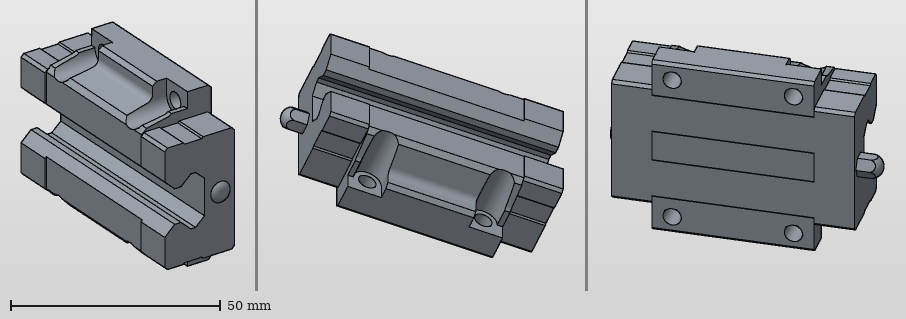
import cadquery as cq
import math


BODY_LENGTH = 40.1
CAPPED_LENGTH = 60.15
OVERALL_LENGTH = 67.3
NIPPLE_TIP_X = -36.2
PLUG_TIP_X = NIPPLE_TIP_X + OVERALL_LENGTH
CAP_LENGTH = (CAPPED_LENGTH - BODY_LENGTH) / 2

BODY_HALF_WIDTH = 23.5
BODY_DEPTH = 20.1
BACK_CHAMFER = 0.8
FLANGE_DEPTH = 11.05
FLANGE_CHAMFER_Y = 1.2
FLANGE_CHAMFER_Z = 1.0
SHANK_ROOT_Z = 18.7
SHANK_END_Y = -18.85
SHANK_END_Z = 17.15
FRONT_FACE_Z = 15.7
ROOT_RADIUS = 2.0

RELIEF_DEPTH = 0.2
RELIEF_INNER_Z = 4.0
RELIEF_OUTER_Z = 14.0

CAP_BACK_Y = -0.2
CAP_FRONT_Y = -20.5
CAP_HALF_WIDTH = 16.35
CAP_CHAMFER = 0.8
CAP_GROOVE_START_Y = -9.35
CAP_GROOVE_END_Y = -15.1
CAP_GROOVE_DEPTH = 0.4

CHANNEL_FLOOR_Y = -8.95
CHANNEL_FLOOR_Z = 5.05
UNDERCUT_START_Y = -11.6
UNDERCUT_END_Y = -12.9
UNDERCUT_Z = 7.4
LIP_START_Y = -15.8
LIP_END_Y = -17.6
LIP_Z = 4.8
MOUTH_Z = 7.5

HOLE_DIAMETER = 4.5
HOLE_X = 15.0
HOLE_Z = 19.0
SEAT_RADIUS = 3.65
SEAT_Y = -6.9

PORT_Y = -4.3
NIPPLE_ACROSS_FLATS = 5.1
NIPPLE_DOME_RADIUS = NIPPLE_ACROSS_FLATS / math.sqrt(3)
PLUG_RADIUS = 2.8
PLUG_FLAT_RADIUS = 1.1


def symmetric_prism(half_outline, length):
    """Extrude a (Y, Z) half outline and its mirror image along X, centred on X = 0."""
    mirrored = [(y, -z) for y, z in reversed(half_outline)]
    prism = cq.Workplane("YZ").polyline(half_outline + mirrored).close().extrude(length)
    return prism.translate((-length / 2, 0, 0))


def make_body():
    outline = [
        (0, BODY_HALF_WIDTH - BACK_CHAMFER),
        (-BACK_CHAMFER, BODY_HALF_WIDTH),
        (-FLANGE_DEPTH + FLANGE_CHAMFER_Y, BODY_HALF_WIDTH),
        (-FLANGE_DEPTH, BODY_HALF_WIDTH - FLANGE_CHAMFER_Z),
        (-FLANGE_DEPTH, SHANK_ROOT_Z),
        (SHANK_END_Y, SHANK_END_Z),
        (-BODY_DEPTH, FRONT_FACE_Z),
    ]
    body = symmetric_prism(outline, BODY_LENGTH)
    for side in (1, -1):
        root = cq.NearestToPointSelector((0, -FLANGE_DEPTH, side * SHANK_ROOT_Z))
        body = body.edges("|X").edges(root).fillet(ROOT_RADIUS)
    return body


def make_relief(z_side):
    relief = cq.Workplane("XY").box(BODY_LENGTH, 2 * RELIEF_DEPTH, RELIEF_OUTER_Z - RELIEF_INNER_Z)
    return relief.translate((0, 0, z_side * (RELIEF_OUTER_Z + RELIEF_INNER_Z) / 2))


def make_bolt_cut(x_side, z_side):
    """Through hole with a round seat that opens outward to the flange corner."""
    hole_x = x_side * HOLE_X
    hole_z = z_side * HOLE_Z
    seat_depth = BODY_DEPTH + SEAT_Y
    seat_mid_y = SEAT_Y - seat_depth / 2
    corner_length = BODY_LENGTH / 2 - HOLE_X + SEAT_RADIUS
    corner_width = BODY_HALF_WIDTH - HOLE_Z

    hole = cq.Workplane("XZ").center(hole_x, hole_z).circle(HOLE_DIAMETER / 2).extrude(BODY_DEPTH)
    seat = (
        cq.Workplane("XZ", origin=(0, SEAT_Y, 0))
        .center(hole_x, hole_z)
        .circle(SEAT_RADIUS)
        .extrude(seat_depth)
    )
    corner = cq.Workplane("XY").box(corner_length, seat_depth, corner_width)
    corner = corner.translate((
        x_side * (BODY_LENGTH - corner_length) / 2,
        seat_mid_y,
        z_side * (HOLE_Z + corner_width / 2),
    ))
    return hole.union(seat).union(corner)


def make_caps():
    groove_z = CAP_HALF_WIDTH - CAP_GROOVE_DEPTH
    outline = [
        (CAP_BACK_Y, CAP_HALF_WIDTH - CAP_CHAMFER),
        (CAP_BACK_Y - CAP_CHAMFER, CAP_HALF_WIDTH),
        (CAP_GROOVE_START_Y, CAP_HALF_WIDTH),
        (CAP_GROOVE_START_Y - CAP_GROOVE_DEPTH, groove_z),
        (CAP_GROOVE_END_Y + CAP_GROOVE_DEPTH, groove_z),
        (CAP_GROOVE_END_Y, CAP_HALF_WIDTH),
        (CAP_FRONT_Y + CAP_CHAMFER, CAP_HALF_WIDTH),
        (CAP_FRONT_Y, CAP_HALF_WIDTH - CAP_CHAMFER),
    ]
    cap = symmetric_prism(outline, CAP_LENGTH)
    cap_x = (BODY_LENGTH + CAP_LENGTH) / 2
    return [cap.translate((side * cap_x, 0, 0)) for side in (1, -1)]


def make_channel():
    outline = [
        (CHANNEL_FLOOR_Y, CHANNEL_FLOOR_Z),
        (UNDERCUT_START_Y, UNDERCUT_Z),
        (UNDERCUT_END_Y, UNDERCUT_Z),
        (LIP_START_Y, LIP_Z),
        (LIP_END_Y, LIP_Z),
        (CAP_FRONT_Y, MOUTH_Z),
    ]
    return symmetric_prism(outline, CAPPED_LENGTH)


def make_nipple():
    """Hexagonal pin with a spherical tip as wide as the hexagon corners."""
    length = -CAPPED_LENGTH / 2 - NIPPLE_TIP_X
    pin = (
        cq.Workplane("YZ", origin=(NIPPLE_TIP_X, PORT_Y, 0))
        .polygon(6, 2 * NIPPLE_DOME_RADIUS)
        .extrude(length)
    )
    arc_mid_y = NIPPLE_DOME_RADIUS * math.sin(math.pi / 4)
    arc_mid_x = NIPPLE_DOME_RADIUS - arc_mid_y
    envelope = (
        cq.Workplane("XY", origin=(NIPPLE_TIP_X, PORT_Y, 0))
        .threePointArc((arc_mid_x, arc_mid_y), (NIPPLE_DOME_RADIUS, NIPPLE_DOME_RADIUS))
        .lineTo(length, NIPPLE_DOME_RADIUS)
        .lineTo(length, 0)
        .close()
        .revolve(360, (0, 0, 0), (1, 0, 0))
    )
    return pin.intersect(envelope)


def make_plug():
    """Round button with a flat end that curves back to the end cap."""
    height = PLUG_TIP_X - CAPPED_LENGTH / 2
    return (
        cq.Workplane("XY", origin=(CAPPED_LENGTH / 2, PORT_Y, 0))
        .lineTo(height, 0)
        .lineTo(height, PLUG_FLAT_RADIUS)
        .tangentArcPoint((-height, PLUG_RADIUS - PLUG_FLAT_RADIUS))
        .close()
        .revolve(360, (0, 0, 0), (1, 0, 0))
    )


carriage = make_body()
for z_side in (1, -1):
    carriage = carriage.cut(make_relief(z_side))
    for x_side in (1, -1):
        carriage = carriage.cut(make_bolt_cut(x_side, z_side))
for cap in make_caps():
    carriage = carriage.union(cap)
carriage = carriage.cut(make_channel())
result = carriage.union(make_nipple()).union(make_plug())